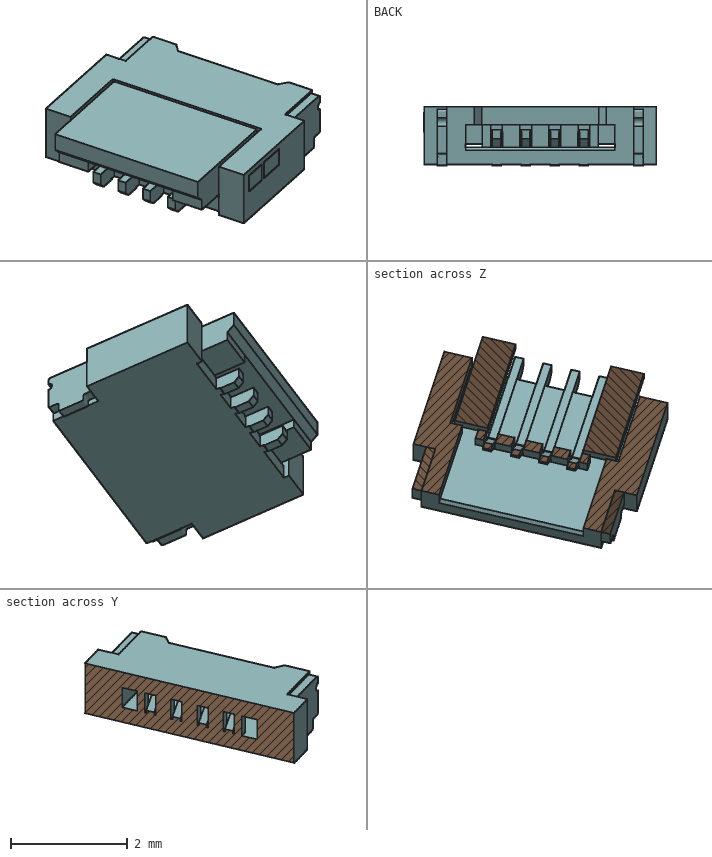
import cadquery as cq


HOUSING_WIDTH = 4.0
HOUSING_HEIGHT = 1.0
ARM_LENGTH = 2.0
REAR_Y = 2.9
REAR_WIDTH = 3.225
FOOT_DROP = 0.02

RECESS_WIDTH = 3.0
RECESS_END_Y = 1.4
FLOOR_TOP = 0.3
FLOOR_FRONT_Y = 0.1

CABLE_SLOT_WIDTH = 2.575
CABLE_SLOT_TOP = 0.68
STOP_WALL = 0.2
WINDOW_WIDTH = 0.285
LEAD_IN = 0.055

NOTCH_OUTER_WIDTH = 2.27
NOTCH_INNER_WIDTH = 2.015
NOTCH_DEPTH = 0.155

PAD_HEIGHT = 0.01
PAD_BOTTOM = 0.565
PAD_TOP = 0.89
PAD_SPANS = [(0.172, 0.59), (0.66, 1.163)]

CONTACT_COUNT = 4
CONTACT_PITCH = 0.5
CONTACT_WIDTH = 0.152
CONTACT_SLOT_WIDTH = 0.2
CONTACT_FRONT_Y = -0.35
CONTACT_TOP = 0.29
CONTACT_CHAMFER = 0.095
CONTACT_FOOT_END_Y = 0.03
BEAM_TIP_TOP = 0.6
BEAM_RUN = 0.36
BEAM_THICKNESS = 0.16

SLIDER_WIDTH = 2.887
SLIDER_GAP = 0.055
SLIDER_FRONT_Y = -0.6
SLIDER_LOWER_FRONT_Y = -0.475
SLIDER_BOTTOM = 0.353
BEVEL_BOTTOM = 0.555
BEVEL_TOP = 0.675

TAB_TOP = HOUSING_HEIGHT - 0.045
TAB_OUTER_WIDTH = 3.545
TAB_REAR_BOTTOM = 0.19
TAB_FRONT_BOTTOM = 0.132
TAB_FOOT_REAR_Y = 2.7
TAB_FOOT_FRONT_Y = 2.2
TAB_CORNER_RADIUS = 0.032
TAB_TOP_RADIUS = 0.052
TAB_NOTCH_RADIUS = 0.072
TAB_NOTCH_Z = 0.73

CONTACT_POSITIONS = [(i - (CONTACT_COUNT - 1) / 2) * CONTACT_PITCH for i in range(CONTACT_COUNT)]
STOP_WALL_REAR_Y = RECESS_END_Y + STOP_WALL
CONTACT_ROW_WIDTH = (CONTACT_COUNT - 1) * CONTACT_PITCH + CONTACT_SLOT_WIDTH


def block(x_range, y_range, z_range):
    """Box between the two given limits on each axis."""
    (x0, x1), (y0, y1), (z0, z1) = x_range, y_range, z_range
    return cq.Workplane("XY").box(x1 - x0, y1 - y0, z1 - z0, centered=False).translate((x0, y0, z0))


def centred_block(width, y_range, z_range, x=0):
    """Box of the given width, centred on x."""
    return block((x - width / 2, x + width / 2), y_range, z_range)


def side_extrusion(points, width, x=0):
    """Extrude a closed (Y, Z) outline to the given width, centred on x."""
    return cq.Workplane("YZ").polyline(points).close().extrude(width / 2, both=True).translate((x, 0, 0))


def make_contact(x):
    """Solder tail at the front and a beam that rises into the cable slot."""
    tail = side_extrusion(
        [
            (CONTACT_FRONT_Y, CONTACT_TOP),
            (CONTACT_FRONT_Y, CONTACT_CHAMFER - FOOT_DROP),
            (CONTACT_FRONT_Y + CONTACT_CHAMFER, -FOOT_DROP),
            (CONTACT_FOOT_END_Y, -FOOT_DROP),
            (CONTACT_FOOT_END_Y, 0),
            (RECESS_END_Y, 0),
            (RECESS_END_Y, CONTACT_TOP),
        ],
        CONTACT_WIDTH,
        x,
    )
    beam_end_y = RECESS_END_Y + BEAM_RUN
    beam = side_extrusion(
        [
            (RECESS_END_Y, CONTACT_TOP),
            (beam_end_y, BEAM_TIP_TOP),
            (beam_end_y, BEAM_TIP_TOP - BEAM_THICKNESS),
            (RECESS_END_Y, CONTACT_TOP - BEAM_THICKNESS),
        ],
        CONTACT_WIDTH,
        x,
    )
    return tail.union(beam)


def cut_slider_recess(body):
    """Open the front of the housing above the floor, and set the floor back from the arms."""
    above_floor = centred_block(RECESS_WIDTH, (0, RECESS_END_Y), (FLOOR_TOP, HOUSING_HEIGHT))
    before_floor = centred_block(RECESS_WIDTH, (0, FLOOR_FRONT_Y), (0, HOUSING_HEIGHT))
    return body.cut(above_floor).cut(before_floor)


def cut_cable_slot(body):
    """Rear cable slot, its lead-in, and the openings through the stop wall."""
    slot_heights = (FLOOR_TOP, CABLE_SLOT_TOP)
    wall = (RECESS_END_Y, STOP_WALL_REAR_Y)
    body = body.cut(centred_block(CABLE_SLOT_WIDTH, (STOP_WALL_REAR_Y, REAR_Y), slot_heights))
    lead_in = [(REAR_Y - LEAD_IN, FLOOR_TOP), (REAR_Y, FLOOR_TOP), (REAR_Y, FLOOR_TOP - LEAD_IN)]
    body = body.cut(side_extrusion(lead_in, CABLE_SLOT_WIDTH))
    for x in CONTACT_POSITIONS:
        body = body.cut(centred_block(CONTACT_SLOT_WIDTH, wall, slot_heights, x))
    for side in (-1, 1):
        window_x = side * (CABLE_SLOT_WIDTH - WINDOW_WIDTH) / 2
        body = body.cut(centred_block(WINDOW_WIDTH, wall, slot_heights, window_x))
    return body


def cut_contact_grooves(body):
    """Shallow grooves that leave the contact tops just below the recess floor."""
    for x in CONTACT_POSITIONS:
        groove = centred_block(CONTACT_WIDTH, (FLOOR_FRONT_Y, RECESS_END_Y), (CONTACT_TOP, FLOOR_TOP), x)
        body = body.cut(groove)
    return body


def cut_roof_notch(body):
    """Trapezoidal notch through the roof at the mouth of the cable slot."""
    notch = (
        cq.Workplane("XY", origin=(0, 0, CABLE_SLOT_TOP))
        .polyline(
            [
                (-NOTCH_OUTER_WIDTH / 2, REAR_Y),
                (-NOTCH_INNER_WIDTH / 2, REAR_Y - NOTCH_DEPTH),
                (NOTCH_INNER_WIDTH / 2, REAR_Y - NOTCH_DEPTH),
                (NOTCH_OUTER_WIDTH / 2, REAR_Y),
            ]
        )
        .close()
        .extrude(HOUSING_HEIGHT - CABLE_SLOT_TOP)
    )
    return body.cut(notch)


def make_housing():
    """Housing in one piece with its contacts and raised side pads."""
    heights = (0, HOUSING_HEIGHT)
    body = centred_block(HOUSING_WIDTH, (0, ARM_LENGTH), heights)
    body = body.union(centred_block(REAR_WIDTH, (ARM_LENGTH, REAR_Y), heights))
    body = cut_slider_recess(body)
    body = cut_cable_slot(body)
    body = cut_roof_notch(body)
    body = cut_contact_grooves(body)
    for x in CONTACT_POSITIONS:
        body = body.union(make_contact(x))
    side_x = HOUSING_WIDTH / 2
    for span in PAD_SPANS:
        body = body.union(block((side_x, side_x + PAD_HEIGHT), span, (PAD_BOTTOM, PAD_TOP)))
    return body


def make_slider():
    """Slider plate with a bevelled front and a relief above the row of contacts."""
    rear_y = RECESS_END_Y - SLIDER_GAP
    plate = side_extrusion(
        [
            (rear_y, SLIDER_BOTTOM),
            (rear_y, HOUSING_HEIGHT),
            (SLIDER_FRONT_Y, HOUSING_HEIGHT),
            (SLIDER_FRONT_Y, BEVEL_TOP),
            (SLIDER_LOWER_FRONT_Y, BEVEL_BOTTOM),
            (SLIDER_LOWER_FRONT_Y, SLIDER_BOTTOM),
        ],
        SLIDER_WIDTH,
    )
    relief = centred_block(
        CONTACT_ROW_WIDTH, (SLIDER_LOWER_FRONT_Y, rear_y), (SLIDER_BOTTOM, BEVEL_BOTTOM)
    )
    return plate.cut(relief)


def make_tab(side):
    """Solder tab on one side of the housing rear: side is -1 for -X and 1 for +X."""
    thickness = (TAB_OUTER_WIDTH - REAR_WIDTH) / 2
    x = side * (TAB_OUTER_WIDTH + REAR_WIDTH) / 4
    plate = side_extrusion(
        [
            (ARM_LENGTH, TAB_TOP),
            (REAR_Y, TAB_TOP),
            (REAR_Y, TAB_REAR_BOTTOM),
            (TAB_FOOT_REAR_Y, TAB_REAR_BOTTOM),
            (TAB_FOOT_REAR_Y, -FOOT_DROP),
            (TAB_FOOT_FRONT_Y, -FOOT_DROP),
            (TAB_FOOT_FRONT_Y, TAB_FRONT_BOTTOM),
            (ARM_LENGTH, TAB_FRONT_BOTTOM),
        ],
        thickness,
        x,
    )
    lower_corners = cq.selectors.BoxSelector(
        (-HOUSING_WIDTH, ARM_LENGTH + TAB_CORNER_RADIUS, -HOUSING_HEIGHT),
        (HOUSING_WIDTH, REAR_Y + TAB_CORNER_RADIUS, HOUSING_HEIGHT / 2),
    )
    plate = plate.edges("|X").edges(lower_corners).fillet(TAB_CORNER_RADIUS)
    plate = plate.faces(">Z").edges(">Y").fillet(TAB_TOP_RADIUS)
    notch = (
        cq.Workplane("YZ")
        .center(REAR_Y, TAB_NOTCH_Z)
        .circle(TAB_NOTCH_RADIUS)
        .extrude(thickness / 2, both=True)
        .translate((x, 0, 0))
    )
    return plate.cut(notch)


housing = make_housing()
slider = make_slider()
tabs = [make_tab(side) for side in (-1, 1)]

result = cq.Compound.makeCompound([housing.val(), slider.val(), *[tab.val() for tab in tabs]])